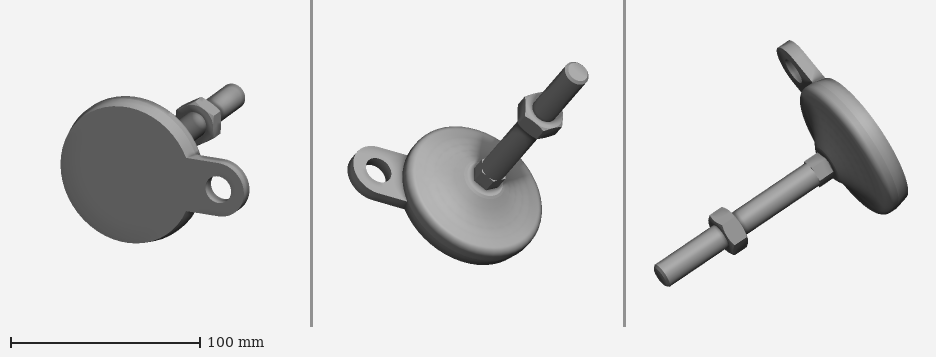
import cadquery as cq
import math


total_length = 135.0
overall_width = 109.0

pad_diameter = 80.0
pad_radius = pad_diameter / 2
sole_radius = 38.2
taper_height = 7.5
rim_height = 11.1
shoulder_height = 15.3
shoulder_radius = 36.2
crown_height = 24.2
crown_radius = 12.0
pad_height = 25.0
pad_top_radius = 10.5

lug_width = 30.0
lug_thickness = 7.0
lug_hole_diameter = 15.0
lug_center_x = overall_width - pad_radius - lug_width / 2

stem_diameter = 14.0
stem_chamfer = 1.4
neck_diameter = 10.0
hex_start = 26.0
hex_height = 9.0
hex_end = hex_start + hex_height

nut_flats = 22.0
nut_thickness = 10.0
nut_start = 85.2
nut_chamfer_angle = 30


def cylinder(diameter, start, end):
    """Round bar on the Y axis."""
    return cq.Workplane("XZ", origin=(0, start, 0)).circle(diameter / 2).extrude(start - end)


def hex_prism(flats, start, height):
    """Hexagonal bar on the Y axis, with its corners pointing along +Z and -Z."""
    corner_diameter = flats / math.cos(math.pi / 6)
    prism = cq.Workplane("XZ").polygon(6, corner_diameter).extrude(-height)
    return prism.rotate((0, 0, 0), (0, 1, 0), 90).translate((0, start, 0))


def make_pad():
    """Revolved pad: tapered sole edge, rounded rim and a tangent concave flank."""
    profile = (
        cq.Workplane("XY")
        .lineTo(sole_radius, 0)
        .lineTo(pad_radius, taper_height)
        .lineTo(pad_radius, rim_height)
        .tangentArcPoint((shoulder_radius, shoulder_height), relative=False)
        .tangentArcPoint((crown_radius, crown_height), relative=False)
        .lineTo(pad_top_radius, pad_height)
        .lineTo(0, pad_height)
        .close()
    )
    return profile.revolve(360, (0, 0, 0), (0, 1, 0))


def make_lug():
    """Round-ended lug, flush with the sole."""
    lug = cq.Workplane("XZ").rect(lug_center_x, lug_width).extrude(-lug_thickness)
    lug = lug.translate((lug_center_x / 2, 0, 0))
    end = cylinder(lug_width, 0, lug_thickness).translate((lug_center_x, 0, 0))
    hole = cylinder(lug_hole_diameter, 0, lug_thickness).translate((lug_center_x, 0, 0))
    return lug.union(end).cut(hole)


def make_stem():
    """Stem with a narrow neck, a wrench hexagon and a chamfered tip."""
    neck = cylinder(neck_diameter, crown_height, hex_start)
    wrench_hex = hex_prism(stem_diameter, hex_start, hex_height)
    rod = cylinder(stem_diameter, hex_end, total_length).faces(">Y").chamfer(stem_chamfer)
    return neck.union(wrench_hex).union(rod)


def make_nut():
    """Hexagonal nut with its corners turned down conically at both faces."""
    face_radius = nut_flats / 2
    corner_radius = face_radius / math.cos(math.pi / 6)
    radial_chamfer = corner_radius - face_radius
    axial_chamfer = radial_chamfer * math.tan(math.radians(nut_chamfer_angle))
    envelope = (
        cylinder(2 * corner_radius, nut_start, nut_start + nut_thickness)
        .faces("<Y or >Y")
        .chamfer(axial_chamfer, radial_chamfer)
    )
    return hex_prism(nut_flats, nut_start, nut_thickness).intersect(envelope)


result = make_pad().union(make_lug()).union(make_stem()).union(make_nut())